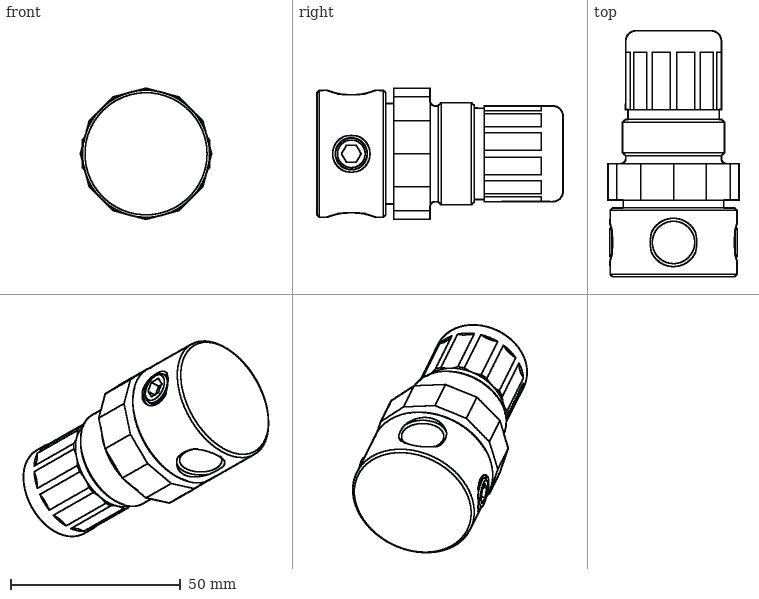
import cadquery as cq
import math

TOTAL_LENGTH = 72.65

BASE_RADIUS = 18.75
BASE_LENGTH = 20.35
BASE_CHAMFER = 0.7
NECK_RADIUS = 14.9
NECK_END = 22.7

FLANGE_SIDES = 12
FLANGE_ACROSS_CORNERS = 38.7
FLANGE_END = 33.4
GROOVE_RADIUS = 14.2
GROOVE_FILLET = 1.45
COLLAR_RADIUS = 15.1
COLLAR_CHAMFER = COLLAR_RADIUS - GROOVE_RADIUS
COLLAR_START = 35.75
COLLAR_END = 46.5

SHANK_RADIUS = 13.5
GRIP_RADIUS = 14.2
GRIP_START = 49.3
GRIP_ROUND = 3.1
FLUTE_COUNT = 12
FLUTE_END = 66.25
FLUTE_FLOOR_WIDTH = 1.95
FLUTE_MOUTH_WIDTH = 5.4

PORT_Y = BASE_LENGTH / 2
PORT_RADIUS = 6.25
PORT_MOUTH_RADIUS = 7.1
PORT_MOUTH_DEPTH = 1.15
PORT_FLOOR = 7.3
GAUGE_RADIUS = 4.7
GAUGE_MOUTH_RADIUS = 5.5
GAUGE_MOUTH_DEPTH = 0.7
GAUGE_FLOOR = 9.45
SEAT_SLOPE = math.radians(30)

PLUG_RADIUS = 4.65
PLUG_FACE = 18.8
PLUG_CHAMFER = 0.6
SOCKET_SIDES = 6
SOCKET_ACROSS_FLATS = 5.0
SOCKET_DEPTH = 3.0

CUT_MARGIN = 0.7


def turned(profile):
    """Revolve a profile of (radius, y) points about the Y axis."""
    return profile.close().revolve(360, (0, 0, 0), (0, 1, 0))


def port_cutter(radius, mouth_radius, mouth_depth, floor):
    """A blind port along +Z: bore, conical seat, and a wider mouth in the drum's side."""
    seat_top = BASE_RADIUS - mouth_depth
    seat_bottom = seat_top - (mouth_radius - radius) * math.tan(SEAT_SLOPE)
    return (
        cq.Workplane("XZ")
        .moveTo(0, floor)
        .lineTo(radius, floor)
        .lineTo(radius, seat_bottom)
        .lineTo(mouth_radius, seat_top)
        .lineTo(mouth_radius, BASE_RADIUS + CUT_MARGIN)
        .lineTo(0, BASE_RADIUS + CUT_MARGIN)
        .close()
        .revolve(360, (0, 0, 0), (0, 1, 0))
        .translate((0, PORT_Y, 0))
    )


def turn_about_axis(shape, angle):
    return shape.rotate((0, 0, 0), (0, 1, 0), angle)


def make_base():
    base = turned(
        cq.Workplane("XY")
        .lineTo(BASE_RADIUS - BASE_CHAMFER, 0)
        .lineTo(BASE_RADIUS, BASE_CHAMFER)
        .lineTo(BASE_RADIUS, BASE_LENGTH - BASE_CHAMFER)
        .lineTo(BASE_RADIUS - BASE_CHAMFER, BASE_LENGTH)
        .lineTo(NECK_RADIUS, BASE_LENGTH)
        .lineTo(NECK_RADIUS, NECK_END)
        .lineTo(0, NECK_END)
    )
    port = port_cutter(PORT_RADIUS, PORT_MOUTH_RADIUS, PORT_MOUTH_DEPTH, PORT_FLOOR)
    gauge_port = port_cutter(GAUGE_RADIUS, GAUGE_MOUTH_RADIUS, GAUGE_MOUTH_DEPTH, GAUGE_FLOOR)
    for angle in (0, 180):
        base = base.cut(turn_about_axis(port, angle))
        base = base.cut(turn_about_axis(gauge_port, angle + 90))
    return base


def make_bonnet():
    flange = (
        cq.Workplane("XZ", origin=(0, NECK_END, 0))
        .polygon(FLANGE_SIDES, FLANGE_ACROSS_CORNERS)
        .extrude(NECK_END - FLANGE_END)
    )
    collar = turned(
        cq.Workplane("XY")
        .moveTo(0, FLANGE_END)
        .lineTo(GROOVE_RADIUS + GROOVE_FILLET, FLANGE_END)
        .radiusArc((GROOVE_RADIUS, FLANGE_END + GROOVE_FILLET), GROOVE_FILLET)
        .lineTo(GROOVE_RADIUS, COLLAR_START)
        .lineTo(COLLAR_RADIUS, COLLAR_START + COLLAR_CHAMFER)
        .lineTo(COLLAR_RADIUS, COLLAR_END - COLLAR_CHAMFER)
        .lineTo(COLLAR_RADIUS - COLLAR_CHAMFER, COLLAR_END)
        .lineTo(0, COLLAR_END)
    )
    return flange.union(collar)


def flute_cutter():
    """A trapezoidal flute on the +Z side, its floor level with the shank."""
    mouth_height = math.sqrt(GRIP_RADIUS**2 - (FLUTE_MOUTH_WIDTH / 2) ** 2)
    return (
        cq.Workplane("XZ", origin=(0, GRIP_START, 0))
        .moveTo(-FLUTE_FLOOR_WIDTH / 2, SHANK_RADIUS)
        .lineTo(FLUTE_FLOOR_WIDTH / 2, SHANK_RADIUS)
        .lineTo(FLUTE_MOUTH_WIDTH / 2, mouth_height)
        .lineTo(FLUTE_MOUTH_WIDTH / 2, GRIP_RADIUS + CUT_MARGIN)
        .lineTo(-FLUTE_MOUTH_WIDTH / 2, GRIP_RADIUS + CUT_MARGIN)
        .lineTo(-FLUTE_MOUTH_WIDTH / 2, mouth_height)
        .close()
        .extrude(GRIP_START - FLUTE_END)
    )


def make_knob():
    knob = turned(
        cq.Workplane("XY")
        .moveTo(0, COLLAR_END)
        .lineTo(SHANK_RADIUS, COLLAR_END)
        .lineTo(SHANK_RADIUS, GRIP_START)
        .lineTo(GRIP_RADIUS, GRIP_START)
        .lineTo(GRIP_RADIUS, TOTAL_LENGTH - GRIP_ROUND)
        .radiusArc((GRIP_RADIUS - GRIP_ROUND, TOTAL_LENGTH), -GRIP_ROUND)
        .lineTo(0, TOTAL_LENGTH)
    )
    flute = flute_cutter()
    pitch = 360 / FLUTE_COUNT
    for index in range(FLUTE_COUNT):
        knob = knob.cut(turn_about_axis(flute, (index + 0.5) * pitch))
    return knob


def make_plug(angle):
    """A chamfered plug with a hex socket, turned from +Z to the given angle about Y."""
    socket_across_corners = SOCKET_ACROSS_FLATS / math.cos(math.pi / SOCKET_SIDES)
    plug = (
        cq.Workplane("XY", origin=(0, PORT_Y, GAUGE_FLOOR))
        .circle(PLUG_RADIUS)
        .extrude(PLUG_FACE - GAUGE_FLOOR)
        .faces(">Z")
        .chamfer(PLUG_CHAMFER)
        .faces(">Z")
        .workplane(origin=(0, PORT_Y, PLUG_FACE))
        .transformed(rotate=(0, 0, 90))
        .polygon(SOCKET_SIDES, socket_across_corners)
        .cutBlind(-SOCKET_DEPTH)
    )
    return turn_about_axis(plug, angle)


base = make_base()
bonnet = make_bonnet()
knob = make_knob()
plugs = [make_plug(angle) for angle in (90, -90)]

result = cq.Compound.makeCompound(
    [base.val(), bonnet.val(), knob.val(), *[plug.val() for plug in plugs]]
)